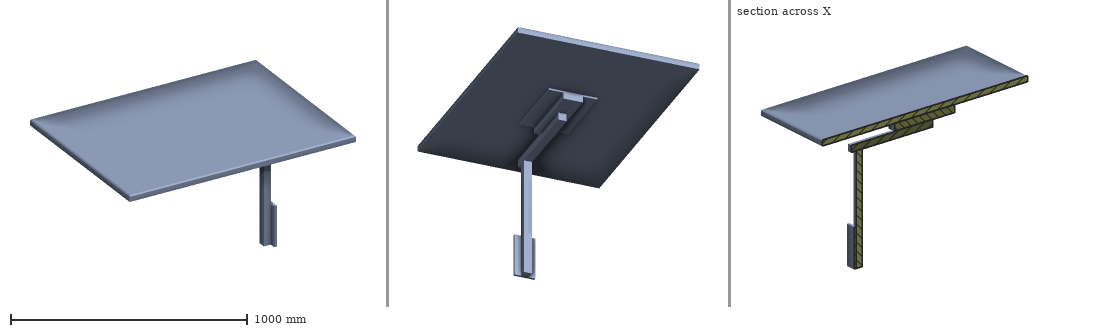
import cadquery as cq

TOP_WIDTH = 834.0
TOP_LENGTH = 1112.0
TOP_THICKNESS = 30.0
TOP_CHAMFER = 6.0

TOTAL_HEIGHT = 644.0
FOOT_Z = TOP_THICKNESS - TOTAL_HEIGHT

BRACKET_LENGTH = 327.0
FLANGE_WIDTH = 221.0
FLANGE_THICKNESS = 8.0
BLOCK_WIDTH = 88.0
BRACKET_HEIGHT = 37.0

BAR_WIDTH = 38.0
BAR_DEPTH = 35.0
ARM_LENGTH = 445.0
ARM_BACK_Y = 400.0
ARM_TOP_Z = -BRACKET_HEIGHT
ARM_BOTTOM_Z = ARM_TOP_Z - BAR_DEPTH
POST_BACK_Y = 371.0

PLATE_WIDTH = 96.0
PLATE_HEIGHT = 195.0
PLATE_THICKNESS = 12.0


def block(width, back_y, length, bottom_z, height):
    """Box centred in X, running forward (-Y) from back_y and up from bottom_z."""
    return (
        cq.Workplane("XY")
        .box(width, length, height, centered=(True, False, False))
        .translate((0, back_y - length, bottom_z))
    )


def make_table_top():
    """Rectangular slab with its upper rim chamfered."""
    slab = block(TOP_WIDTH, TOP_LENGTH / 2, TOP_LENGTH, 0, TOP_THICKNESS)
    return slab.faces(">Z").edges().chamfer(TOP_CHAMFER)


def make_bracket():
    """Wide thin flange against the top, with a narrower block below it."""
    back_y = BRACKET_LENGTH / 2
    flange = block(FLANGE_WIDTH, back_y, BRACKET_LENGTH, -FLANGE_THICKNESS, FLANGE_THICKNESS)
    web = block(BLOCK_WIDTH, back_y, BRACKET_LENGTH, -BRACKET_HEIGHT, BRACKET_HEIGHT)
    return flange.union(web)


def make_arm():
    """Horizontal bar under the bracket, reaching back over the post."""
    return block(BAR_WIDTH, ARM_BACK_Y, ARM_LENGTH, ARM_BOTTOM_Z, BAR_DEPTH)


def make_post():
    """Upright bar from the foot to the underside of the arm."""
    return block(BAR_WIDTH, POST_BACK_Y, BAR_DEPTH, FOOT_Z, ARM_BOTTOM_Z - FOOT_Z)


def make_mounting_plate():
    """Flat plate against the back face of the post, level with its foot."""
    plate_back_y = POST_BACK_Y + PLATE_THICKNESS
    return block(PLATE_WIDTH, plate_back_y, PLATE_THICKNESS, FOOT_Z, PLATE_HEIGHT)


table_top = make_table_top()
bracket = make_bracket()
arm = make_arm()
post = make_post()
mounting_plate = make_mounting_plate()

result = cq.Compound.makeCompound([
    table_top.val(),
    bracket.val(),
    arm.val(),
    post.val(),
    mounting_plate.val(),
])